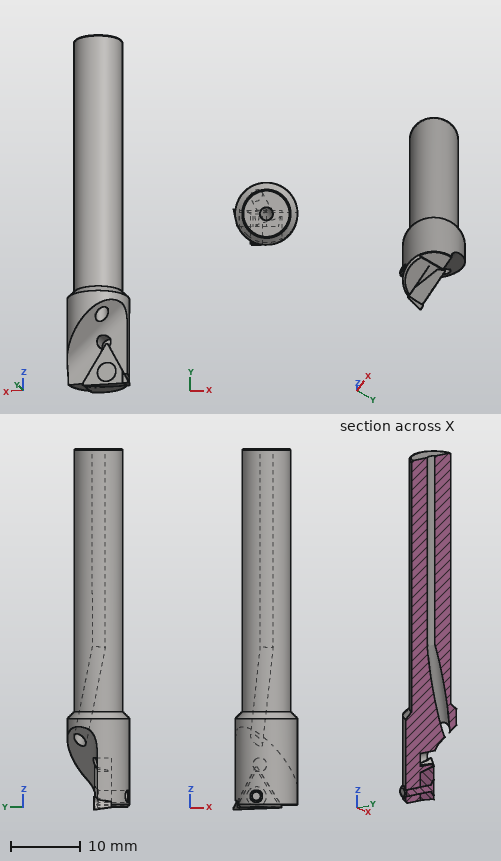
import cadquery as cq
import math

total_height = 51.9
shank_radius = 3.5
head_radius = 4.49
head_bottom = 0.4
head_chamfer = 0.35
neck_start = 13.15
neck_end = neck_start + head_radius - shank_radius
shank_chamfer = 0.2

step_start_x = 2.2
step_top_z = 0.7

pocket_floor_y = 0.2
pocket_corner_z = 6.95
pocket_slope = 41.3
pocket_wall_lean = 29.0
pocket_corner_radius = 2.8
pocket_reach = 20.75

bore_radius = 0.95
bore_bend = cq.Vector(0, 0, 23.35)
bore_outlet = cq.Vector(-1.45, 2.65, 10.1)
outlet_overrun = 2.1

insert_side = 7.3
triangle_angle = 60.0
insert_tilt = 2.3
insert_clearance = 7.5
insert_nose_radius = 0.2
insert_thickness = 2.35
insert_face_y = 0.5
insert_back_y = insert_face_y - insert_thickness
nose_center = (-4.54, 0.2)

relief_center = (-1.0, 6.55)
relief_radius = 1.0
recess_top_y = 1.55

tip_edge_x = -3.9
tip_rise = 0.15
tip_face_y = insert_face_y + tip_rise

opening_edge_x = -3.4
opening_top_z = 1.5
opening_slope = 10.0

screw_center = (-1.45, 1.95)
screw_radius = 0.9
screw_end_chamfer = 0.25
screw_head_radius = 1.4
screw_head_cone = screw_head_radius - screw_radius


def plane_facing_back(y):
    """XZ plane at the given Y, with extrusions running towards -Y."""
    return cq.Workplane("XZ", origin=(0, y, 0))


def make_bar():
    return (
        cq.Workplane("XZ")
        .moveTo(0, head_bottom)
        .lineTo(head_radius - head_chamfer, head_bottom)
        .lineTo(head_radius, head_bottom + head_chamfer)
        .lineTo(head_radius, neck_start)
        .lineTo(shank_radius, neck_end)
        .lineTo(shank_radius, total_height - shank_chamfer)
        .lineTo(shank_radius - shank_chamfer, total_height)
        .lineTo(0, total_height)
        .close()
        .revolve(360, (0, 0, 0), (0, 1, 0))
    )


def make_end_step():
    """Space beside the insert, below the step in the end face."""
    return (
        cq.Workplane("XY")
        .box(head_radius, 2 * head_radius, step_top_z, centered=(False, True, False))
        .translate((step_start_x, 0, 0))
    )


def make_chip_pocket():
    slope = math.radians(pocket_slope)
    wall_rise = pocket_reach * math.tan(math.radians(pocket_wall_lean))
    profile_plane = cq.Plane(
        origin=(0, pocket_floor_y, pocket_corner_z),
        xDir=(0, 1, 0),
        normal=(math.cos(slope), 0, -math.sin(slope)),
    )
    return (
        cq.Workplane(profile_plane)
        .polyline([(0, 0), (pocket_reach, wall_rise), (pocket_reach, -pocket_reach), (0, -pocket_reach)])
        .close()
        .extrude(pocket_reach, both=True)
        .edges(cq.selectors.NearestToPointSelector((0, pocket_floor_y, pocket_corner_z)))
        .fillet(pocket_corner_radius)
    )


def make_coolant_passage():
    bore = (
        cq.Workplane("XY", origin=bore_bend.toTuple())
        .circle(bore_radius)
        .extrude(total_height - bore_bend.z)
    )
    run = bore_outlet - bore_bend
    lead = bore_radius * math.tan(run.getAngle(cq.Vector(0, 0, -1)))
    start = bore_bend - run.normalized() * lead
    outlet = cq.Solid.makeCylinder(bore_radius, lead + run.Length + outlet_overrun, start, run)
    return bore.union(cq.Workplane(outlet))


def step_along(start, length, angle):
    """Point at the given distance from an (X, Z) point, at an angle in degrees above +X."""
    turn = math.radians(angle)
    return (start[0] + length * math.cos(turn), start[1] + length * math.sin(turn))


def insert_corners():
    """Sharp corners of the triangle: lower left, lower right and upper."""
    bisector = insert_tilt + triangle_angle / 2
    corner_distance = insert_nose_radius / math.sin(math.radians(triangle_angle / 2))
    corner = step_along(nose_center, -corner_distance, bisector)
    return [
        corner,
        step_along(corner, insert_side, insert_tilt),
        step_along(corner, insert_side, insert_tilt + triangle_angle),
    ]


def make_insert_blank():
    """Rounded triangle narrowing towards -Y, from the tip's face to the back of the insert."""
    return (
        plane_facing_back(tip_face_y)
        .polyline(insert_corners())
        .close()
        .extrude(tip_face_y - insert_back_y, taper=insert_clearance)
        .edges("not(<Y or >Y)")
        .fillet(insert_nose_radius)
    )


def make_insert_recess():
    """Seat of the insert, its clearance up to the pocket and the relief of its upper corner."""
    clearance = (
        plane_facing_back(recess_top_y)
        .polyline(insert_corners())
        .close()
        .extrude(recess_top_y - tip_face_y)
        .edges("|Y")
        .fillet(insert_nose_radius)
    )
    relief = (
        plane_facing_back(recess_top_y)
        .center(*relief_center)
        .circle(relief_radius)
        .extrude(recess_top_y - insert_back_y)
    )
    return make_insert_blank().union(clearance).union(relief)


def make_tip_opening():
    """Opening in the side of the head around the tip, its upper face sloping with the clearance."""
    depth = pocket_floor_y - insert_back_y
    back_top_z = opening_top_z - depth * math.tan(math.radians(opening_slope))
    return (
        cq.Workplane("YZ", origin=(opening_edge_x, 0, 0))
        .polyline(
            [
                (pocket_floor_y, 0),
                (insert_back_y, 0),
                (insert_back_y, back_top_z),
                (pocket_floor_y, opening_top_z),
            ]
        )
        .close()
        .extrude(-head_radius)
    )


def make_tip_zone():
    """Everything to the left of the joint between tip and insert."""
    return (
        cq.Workplane("XY")
        .box(2 * head_radius, 2 * head_radius, 2 * head_radius)
        .translate((tip_edge_x - head_radius, 0, 0))
    )


def make_screw():
    """Countersunk screw, flush with the rake face and reaching the back of the head."""
    head = (
        plane_facing_back(insert_face_y)
        .center(*screw_center)
        .circle(screw_head_radius)
        .workplane(offset=screw_head_cone)
        .circle(screw_radius)
        .loft()
    )
    shaft = (
        plane_facing_back(insert_face_y)
        .center(*screw_center)
        .circle(screw_radius)
        .extrude(insert_face_y + head_radius)
        .faces("<Y")
        .chamfer(screw_end_chamfer)
    )
    return head.union(shaft)


def make_screw_hole():
    """Straight hole for the screw shaft, open through the back of the head."""
    return (
        plane_facing_back(insert_face_y)
        .center(*screw_center)
        .circle(screw_radius)
        .extrude(2 * head_radius)
    )


def make_rake_clearance():
    """Space above the rake face of the insert body."""
    return plane_facing_back(tip_face_y).rect(4 * head_radius, 4 * head_radius).extrude(tip_rise)


screw = make_screw()
tip = make_insert_blank().intersect(make_tip_zone())
insert = make_insert_blank().cut(make_tip_zone()).cut(make_rake_clearance()).cut(screw)
holder = (
    make_bar()
    .cut(make_end_step())
    .cut(make_chip_pocket())
    .cut(make_coolant_passage())
    .cut(make_insert_recess())
    .cut(make_tip_opening())
    .cut(make_screw_hole())
)

result = cq.Compound.makeCompound([holder.val(), insert.val(), tip.val(), screw.val()])